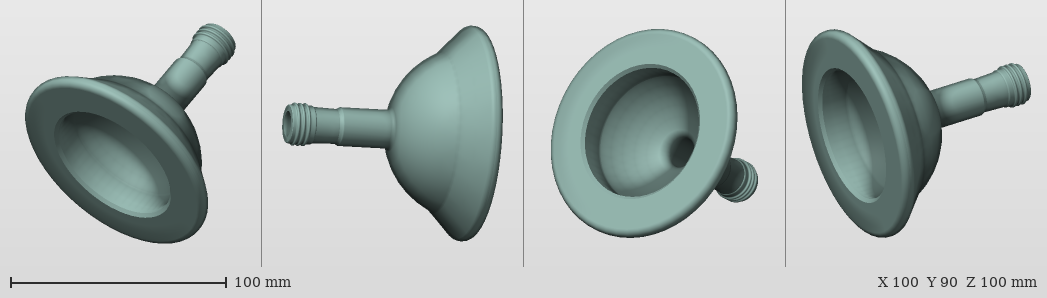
import cadquery as cq
import math


rim_radius = 50.0
rim_round = 3.0
rim_band = 0.8
cone_angle = math.radians(45)

dome_center = 1.2
dome_radius = 40.7
flange_blend = 4.0

total_depth = 90.0
neck_radius = 9.0
neck_blend = 2.0
mouth_chamfer = 0.3

shoulder_start = 65.0
shoulder_length = 0.7
shoulder_drop = 0.3
waist_start = 67.0
waist_radius = 8.1
waist_end = 78.3
waist_end_radius = 8.5
collar_round = 0.8

rib_count = 3
rib_pitch = 2.5
first_rib = 82.1
rib_height = 1.0
rib_round = 0.6

cavity_radius = 31.0
cavity_chamfer = 1.5
cavity_dome_radius = 33.6
cavity_blend = 3.0
bore_radius = 7.0
bore_blend = 5.0
mouth_bore_radius = 6.0
bore_step = bore_radius - mouth_bore_radius


def on_circle(center, radius, angle):
    """Point of a circle, angle in radians from the outward radial direction."""
    return (center[0] + radius * math.cos(angle), center[1] + radius * math.sin(angle))


def dome_depth(radial, sphere_radius):
    """Depth at which a sphere about the dome center reaches a given radius."""
    return dome_center + math.sqrt(sphere_radius**2 - radial**2)


def dome_point(toward, sphere_radius):
    """Point of a dome sphere on the ray from the dome center to another point."""
    angle = math.atan2(toward[1] - dome_center, toward[0])
    return on_circle((0, dome_center), sphere_radius, angle)


def dome_middle(start, end, sphere_radius):
    """Point of a dome sphere midway between two of its points."""
    middle = ((start[0] + end[0]) / 2, (start[1] + end[1]) / 2)
    return dome_point(middle, sphere_radius)


def blend_middle(center, radius, start, end):
    """Point midway along the short arc of a blend circle."""
    toward_radial = (start[0] + end[0]) / 2 - center[0]
    toward_depth = (start[1] + end[1]) / 2 - center[1]
    return on_circle(center, radius, math.atan2(toward_depth, toward_radial))


def flange_blend_center(upper_round_center):
    """Center of the circle touching both the flange cone and the outer dome."""
    normal = (math.cos(cone_angle), math.sin(cone_angle))
    along = (-normal[1], normal[0])
    offset = rim_round + flange_blend
    base = (
        upper_round_center[0] + offset * normal[0],
        upper_round_center[1] + offset * normal[1] - dome_center,
    )
    half_b = base[0] * along[0] + base[1] * along[1]
    c = base[0] ** 2 + base[1] ** 2 - (dome_radius + flange_blend) ** 2
    travel = -half_b - math.sqrt(half_b**2 - c)
    return (base[0] + travel * along[0], base[1] + travel * along[1] + dome_center)


def outer_body():
    flat_radius = rim_radius - rim_round
    lower_center = (flat_radius, rim_round)
    upper_center = (flat_radius, rim_round + rim_band)
    cone_start = on_circle(upper_center, rim_round, cone_angle)

    flange_center = flange_blend_center(upper_center)
    cone_end = on_circle(flange_center, flange_blend, cone_angle + math.pi)
    dome_start = dome_point(flange_center, dome_radius)

    neck_center_radius = neck_radius + neck_blend
    neck_center = (neck_center_radius, dome_depth(neck_center_radius, dome_radius + neck_blend))
    dome_end = dome_point(neck_center, dome_radius)
    neck_start = (neck_radius, neck_center[1])

    profile = (
        cq.Workplane("XY")
        .lineTo(flat_radius, 0)
        .threePointArc(on_circle(lower_center, rim_round, -math.pi / 4), (rim_radius, rim_round))
        .lineTo(rim_radius, rim_round + rim_band)
        .threePointArc(on_circle(upper_center, rim_round, cone_angle / 2), cone_start)
        .lineTo(*cone_end)
        .threePointArc(blend_middle(flange_center, flange_blend, cone_end, dome_start), dome_start)
        .threePointArc(dome_middle(dome_start, dome_end, dome_radius), dome_end)
        .threePointArc(blend_middle(neck_center, neck_blend, dome_end, neck_start), neck_start)
        .lineTo(neck_radius, shoulder_start)
        .tangentArcPoint((neck_radius - shoulder_drop, shoulder_start + shoulder_length), relative=False)
        .lineTo(waist_radius + shoulder_drop, waist_start - shoulder_length)
        .tangentArcPoint((waist_radius, waist_start), relative=False)
        .lineTo(waist_end_radius, waist_end)
        .radiusArc((neck_radius, waist_end + collar_round), -collar_round)
    )
    for index in range(rib_count):
        profile = add_rib(profile, first_rib + index * rib_pitch)
    return (
        profile.lineTo(neck_radius, total_depth - mouth_chamfer)
        .lineTo(neck_radius - mouth_chamfer, total_depth)
        .lineTo(0, total_depth)
        .close()
        .revolve(360, (0, 0), (0, 1))
    )


def add_rib(profile, depth):
    """Continue the neck outline over one rib with rounded roots and crest."""
    flank_radius = neck_radius + rib_height / 2
    return (
        profile.lineTo(neck_radius, depth - 2 * rib_round)
        .tangentArcPoint((flank_radius, depth - rib_round), relative=False)
        .threePointArc((neck_radius + rib_height, depth), (flank_radius, depth + rib_round))
        .tangentArcPoint((neck_radius, depth + 2 * rib_round), relative=False)
    )


def cavity():
    wall_center_radius = cavity_radius - cavity_blend
    wall_center = (
        wall_center_radius,
        dome_depth(wall_center_radius, cavity_dome_radius - cavity_blend),
    )
    wall_end = (cavity_radius, wall_center[1])
    dome_start = dome_point(wall_center, cavity_dome_radius)

    bore_center_radius = bore_radius + bore_blend
    bore_center = (
        bore_center_radius,
        dome_depth(bore_center_radius, cavity_dome_radius + bore_blend),
    )
    dome_end = dome_point(bore_center, cavity_dome_radius)
    bore_start = (bore_radius, bore_center[1])

    return (
        cq.Workplane("XY")
        .lineTo(cavity_radius + cavity_chamfer, 0)
        .lineTo(cavity_radius, cavity_chamfer)
        .lineTo(*wall_end)
        .threePointArc(blend_middle(wall_center, cavity_blend, wall_end, dome_start), dome_start)
        .threePointArc(dome_middle(dome_start, dome_end, cavity_dome_radius), dome_end)
        .threePointArc(blend_middle(bore_center, bore_blend, dome_end, bore_start), bore_start)
        .lineTo(bore_radius, shoulder_start - bore_step)
        .lineTo(mouth_bore_radius, shoulder_start)
        .lineTo(mouth_bore_radius, total_depth)
        .lineTo(0, total_depth)
        .close()
        .revolve(360, (0, 0), (0, 1))
    )


result = outer_body().cut(cavity())